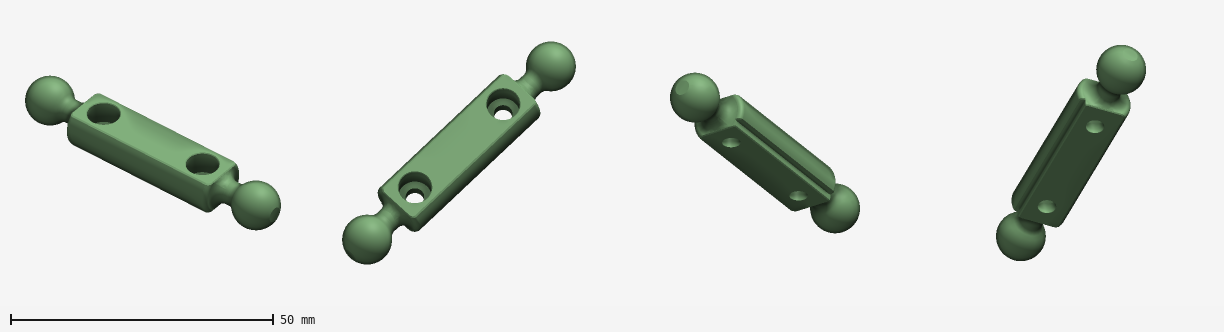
import cadquery as cq
import math

overall_length = 59.02
ball_spacing = 50.0
ball_radius = 9.525 / 2
neck_radius = 4.76 / 2
ball_neck_fillet = 1.9

body_length = 34.0
body_radius = 11.11 / 2
body_thickness = 7.14
body_end_round = 0.9
body_neck_fillet = 2.0
edge_chamfer = 0.2

relief_inner_y = 4.0
relief_top_z = -2.2

hole_spacing = 24.0
hole_radius = 3.55 / 2
counterbore_radius = 6.35 / 2
counterbore_depth = 4.76
counterbore_chamfer = 0.15

tip_x = overall_length / 2
ball_x = ball_spacing / 2
body_end_x = body_length / 2
flat_z = body_thickness / 2


def arc_point(center, radius, degrees):
    """Point on a circle at the given angle."""
    angle = math.radians(degrees)
    return (center[0] + radius * math.cos(angle), center[1] + radius * math.sin(angle))


def make_bar():
    """Round bar with rounded ends, flattened on top and bottom."""
    bar = cq.Workplane("YZ").circle(body_radius).extrude(body_end_x, both=True)
    bar = bar.rotate((0, 0, 0), (1, 0, 0), -90)
    bar = bar.faces("<X or >X").edges().fillet(body_end_round)
    slab = cq.Workplane("XY").box(body_length, 2 * body_radius, body_thickness)
    return bar.intersect(slab)


def cut_corner_relief(body):
    """Cut the rectangular step along the lower +Y corner."""
    relief = cq.Workplane("XY").box(
        body_length, body_radius, body_radius, centered=(True, False, False)
    )
    return body.cut(relief.translate((0, relief_inner_y, relief_top_z - body_radius)))


def chamfer_edges(body):
    """Break the outlines of both flats and the outer edges of the relief ledge."""
    ledge_box = cq.selectors.BoxSelector(
        (-body_length, relief_inner_y + edge_chamfer, relief_top_z - edge_chamfer),
        (body_length, body_radius, relief_top_z + edge_chamfer),
    )
    sharp_edges = body.faces("<Z or >Z").edges().add(body.edges(ledge_box))
    return body.newObject(sharp_edges.vals()).chamfer(edge_chamfer)


def make_ball_stud():
    """Ball with a flat tip, blended into a straight neck that reaches the +X body end."""
    blend_y = neck_radius + ball_neck_fillet
    blend_offset = math.sqrt((ball_radius + ball_neck_fillet) ** 2 - blend_y**2)
    blend_center = (ball_x - blend_offset, blend_y)
    tangent_angle = math.degrees(math.atan2(blend_y, -blend_offset))
    tangent_point = arc_point((ball_x, 0), ball_radius, tangent_angle)
    blend_middle_angle = (270 + tangent_angle + 180) / 2

    tip_radius = math.sqrt(ball_radius**2 - (tip_x - ball_x) ** 2)

    return (
        cq.Workplane("XY")
        .moveTo(body_end_x, 0)
        .lineTo(tip_x, 0)
        .lineTo(tip_x, tip_radius)
        .threePointArc((ball_x, ball_radius), tangent_point)
        .threePointArc(
            arc_point(blend_center, ball_neck_fillet, blend_middle_angle),
            (blend_center[0], neck_radius),
        )
        .lineTo(body_end_x, neck_radius)
        .close()
        .revolve(360, (0, 0, 0), (1, 0, 0))
    )


def flare_necks(part):
    """Fillet the corner between each neck and its body end face."""
    neck_roots = cq.Workplane("XY")
    margin = 0.1
    reach = neck_radius + margin
    for end_x in (-body_end_x, body_end_x):
        root_box = cq.selectors.BoxSelector(
            (end_x - margin, -reach, -reach),
            (end_x + margin, reach, reach),
            boundingbox=True,
        )
        neck_roots = neck_roots.add(part.edges(root_box))
    return part.newObject(neck_roots.vals()).fillet(body_neck_fillet)


def drill_counterbored_hole(part, x):
    """Vertical through hole, counterbored from the top with a chamfered mouth."""
    top = cq.Workplane("XY", origin=(x, 0, flat_z))
    hole = top.circle(hole_radius).extrude(-body_thickness)
    counterbore = top.circle(counterbore_radius).extrude(-counterbore_depth)
    mouth_radius = counterbore_radius + counterbore_chamfer
    mouth = top.circle(mouth_radius).extrude(-counterbore_chamfer, taper=45)
    return part.cut(hole).cut(counterbore).cut(mouth)


body = chamfer_edges(cut_corner_relief(make_bar()))
ball_stud = make_ball_stud()
result = body.union(ball_stud).union(ball_stud.mirror("YZ"))
result = flare_necks(result)
for side in (-1, 1):
    result = drill_counterbored_hole(result, side * hole_spacing / 2)